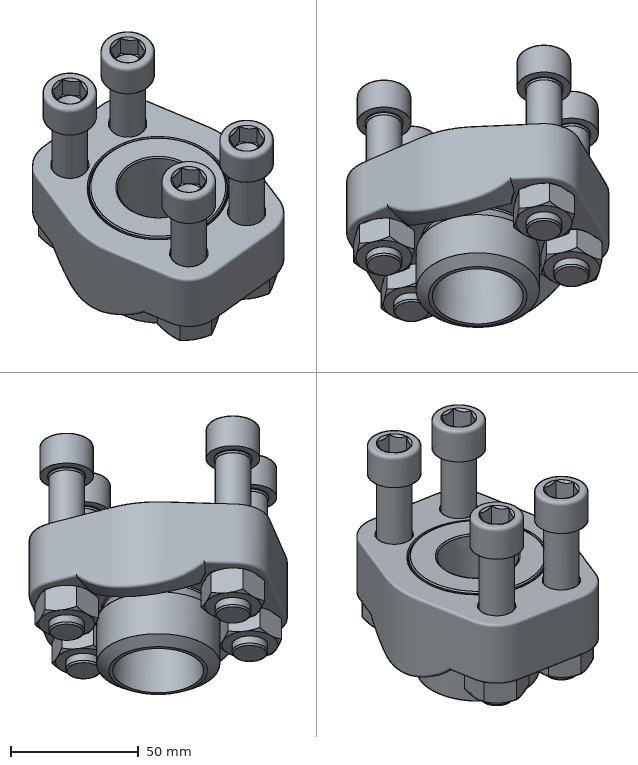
import cadquery as cq
import math

bolt_pitch_x = 66.7
bolt_pitch_y = 31.75
bolt_points = [
    (sx * bolt_pitch_x / 2, sy * bolt_pitch_y / 2) for sx in (-1, 1) for sy in (-1, 1)
]

flange_top = 54.5
flange_seat = 27.4
nipple_top = 55.1

belly_radius = 39.0
corner_radius = 14.7
flange_edge_fillet = 1.1
lobe_radius = 38.1
lobe_draft = 7.2
lobe_recess_diameter = 58.9
envelope_margin = 1.0
upright_tolerance = 1e-6
counterbore_diameter = 54.7
counterbore_chamfer = 0.5
flange_bore_diameter = 44.5
bolt_hole_diameter = 15.0

nipple_head_diameter = 54.0
nipple_head_height = 14.5
counterbore_floor = nipple_top - nipple_head_height
nipple_head_chamfer = 0.6
neck_diameter = 43.5
neck_bottom = 26.8
pipe_diameter = 48.3
pipe_top = 21.9
weld_bevel_height = 3.1
weld_end_diameter = 38.6
bore_diameter = 32.0
bore_chamfer = 0.6
bore_straight_depth = 5.5
pipe_bore_diameter = 35.7

screw_top = 96.5
screw_tip = 12.45
head_diameter = 21.0
head_height = 14.0
head_fillet = 1.4
shank_diameter = 14.0
tip_diameter = 13.0
tip_bevel_height = 0.8
collar_diameter = 15.0
collar_height = 0.4
collar_flare_height = 0.8
socket_flats = 12.1
socket_depth = 8.8
socket_mouth_diameter = 14.0
socket_drill_diameter = 11.8
socket_turn = 40.0
socket_cone_angle = 120.0

nut_flats = 22.0
nut_height = 11.0
nut_bevel_angle = 30.0


def hexagon_corners(flats):
    """Distance across the corners of a hexagon."""
    return flats / math.cos(math.pi / 6)


def revolve_profile(points):
    """Turn a closed (radius, height) profile once around the Z axis."""
    return cq.Workplane("XZ").polyline(points).close().revolve(360, (0, 0, 0), (0, 1, 0))


def flange_outline():
    """Belly arcs centred on the bore, joined by tangent lines to corner arcs centred on the bolts."""
    bolt_x = bolt_pitch_x / 2
    bolt_y = bolt_pitch_y / 2
    tangent_angle = math.atan2(bolt_y, bolt_x) + math.acos(
        (belly_radius - corner_radius) / math.hypot(bolt_x, bolt_y)
    )
    tangent_x = math.cos(tangent_angle)
    tangent_y = math.sin(tangent_angle)
    belly_x = belly_radius * tangent_x
    belly_y = belly_radius * tangent_y
    corner_x = bolt_x + corner_radius * tangent_x
    corner_y = bolt_y + corner_radius * tangent_y
    mid_x = bolt_x + corner_radius * math.cos(tangent_angle / 2)
    mid_y = bolt_y + corner_radius * math.sin(tangent_angle / 2)
    side_x = bolt_x + corner_radius
    return (
        cq.Workplane("XY")
        .moveTo(side_x, -bolt_y)
        .lineTo(side_x, bolt_y)
        .threePointArc((mid_x, mid_y), (corner_x, corner_y))
        .lineTo(belly_x, belly_y)
        .threePointArc((0, belly_radius), (-belly_x, belly_y))
        .lineTo(-corner_x, corner_y)
        .threePointArc((-mid_x, mid_y), (-side_x, bolt_y))
        .lineTo(-side_x, -bolt_y)
        .threePointArc((-mid_x, -mid_y), (-corner_x, -corner_y))
        .lineTo(-belly_x, -belly_y)
        .threePointArc((0, -belly_radius), (belly_x, -belly_y))
        .lineTo(corner_x, -corner_y)
        .threePointArc((mid_x, -mid_y), (side_x, -bolt_y))
        .close()
    )


def lobe_envelope():
    """Two drafted cones around a Y axis at the flange top, meeting with their small ends at the middle."""
    reach = belly_radius + envelope_margin
    slope = math.tan(math.radians(lobe_draft))
    middle_radius = lobe_radius - belly_radius * slope
    end_radius = middle_radius + reach * slope
    return (
        cq.Workplane("XY", origin=(0, 0, flange_top))
        .moveTo(0, -reach)
        .lineTo(end_radius, -reach)
        .lineTo(middle_radius, 0)
        .lineTo(end_radius, reach)
        .lineTo(0, reach)
        .close()
        .revolve(360, (0, 0, 0), (0, 1, 0))
    )


def is_upright(face):
    """True for the vertical faces of the outline."""
    return abs(face.normalAt().z) < upright_tolerance


def make_flange():
    """Flange plate with two arched lobes below, a stepped bore and four bolt holes."""
    plate_width = bolt_pitch_x + 2 * corner_radius + 2 * envelope_margin
    plate = (
        cq.Workplane("XY", origin=(0, 0, flange_seat))
        .rect(plate_width, plate_width)
        .extrude(flange_top - flange_seat)
    )
    block = flange_outline().extrude(flange_top).intersect(plate.union(lobe_envelope()))

    block = block.faces().filter(is_upright).edges("not |Z").fillet(flange_edge_fillet)

    recess = cq.Workplane("XY").circle(lobe_recess_diameter / 2).extrude(flange_seat)
    nut_space = (
        cq.Workplane("XY")
        .pushPoints(bolt_points)
        .circle(hexagon_corners(nut_flats) / 2)
        .extrude(flange_seat)
    )
    block = block.cut(recess).cut(nut_space)

    bore_radius = flange_bore_diameter / 2
    seat_radius = counterbore_diameter / 2
    stepped_bore = revolve_profile(
        [
            (0, 0),
            (bore_radius, 0),
            (bore_radius, counterbore_floor),
            (seat_radius, counterbore_floor),
            (seat_radius, flange_top - counterbore_chamfer),
            (seat_radius + counterbore_chamfer, flange_top),
            (0, flange_top),
        ]
    )
    bolt_holes = (
        cq.Workplane("XY").pushPoints(bolt_points).circle(bolt_hole_diameter / 2).extrude(flange_top)
    )
    return block.cut(stepped_bore).cut(bolt_holes)


def make_nipple():
    """Headed weld nipple with a straight, then widening, bore."""
    head_radius = nipple_head_diameter / 2
    bore_radius = bore_diameter / 2
    return revolve_profile(
        [
            (pipe_bore_diameter / 2, 0),
            (weld_end_diameter / 2, 0),
            (pipe_diameter / 2, weld_bevel_height),
            (pipe_diameter / 2, pipe_top),
            (neck_diameter / 2, neck_bottom),
            (neck_diameter / 2, counterbore_floor),
            (head_radius, counterbore_floor),
            (head_radius, nipple_top - nipple_head_chamfer),
            (head_radius - nipple_head_chamfer, nipple_top),
            (bore_radius + bore_chamfer, nipple_top),
            (bore_radius, nipple_top - bore_chamfer),
            (bore_radius, nipple_top - bore_straight_depth),
        ]
    )


def make_screw():
    """Socket head cap screw on the Z axis."""
    head_bottom = screw_top - head_height
    head = cq.Workplane("XY", origin=(0, 0, head_bottom)).circle(head_diameter / 2).extrude(head_height)
    head = head.faces(">Z").edges().fillet(head_fillet)

    shank_radius = shank_diameter / 2
    collar_radius = collar_diameter / 2
    collar_bottom = head_bottom - collar_height
    shank = revolve_profile(
        [
            (0, screw_tip),
            (tip_diameter / 2, screw_tip),
            (shank_radius, screw_tip + tip_bevel_height),
            (shank_radius, collar_bottom - collar_flare_height),
            (collar_radius, collar_bottom),
            (collar_radius, head_bottom),
            (0, head_bottom),
        ]
    )

    socket_bottom = screw_top - socket_depth
    socket = (
        cq.Workplane("XY", origin=(0, 0, socket_bottom))
        .transformed(rotate=(0, 0, socket_turn))
        .polygon(6, hexagon_corners(socket_flats))
        .extrude(socket_depth)
    )
    mouth_radius = socket_mouth_diameter / 2
    mouth = revolve_profile(
        [(0, screw_top), (mouth_radius, screw_top), (0, screw_top - mouth_radius)]
    )
    drill_radius = socket_drill_diameter / 2
    drill_tip = revolve_profile(
        [
            (0, socket_bottom),
            (drill_radius, socket_bottom),
            (0, socket_bottom - drill_radius / math.tan(math.radians(socket_cone_angle / 2))),
        ]
    )
    return head.union(shank).cut(socket).cut(mouth).cut(drill_tip)


def make_nut():
    """Hexagon nut on the Z axis, corners toward X, bevelled at both ends."""
    corners = hexagon_corners(nut_flats)
    nut_bottom = flange_seat - nut_height
    face_radius = nut_flats / 2
    corner_reach = corners / 2
    bevel = (corner_reach - face_radius) * math.tan(math.radians(nut_bevel_angle))
    hexagon = cq.Workplane("XY", origin=(0, 0, nut_bottom)).polygon(6, corners).extrude(nut_height)
    bevelled_blank = revolve_profile(
        [
            (shank_diameter / 2, nut_bottom),
            (face_radius, nut_bottom),
            (corner_reach, nut_bottom + bevel),
            (corner_reach, flange_seat - bevel),
            (face_radius, flange_seat),
            (shank_diameter / 2, flange_seat),
        ]
    )
    return hexagon.intersect(bevelled_blank)


flange = make_flange()
nipple = make_nipple()
screws = [make_screw().translate((x, y, 0)) for x, y in bolt_points]
nuts = [make_nut().translate((x, y, 0)) for x, y in bolt_points]

result = cq.Compound.makeCompound(
    [flange.val(), nipple.val(), *[s.val() for s in screws], *[n.val() for n in nuts]]
)